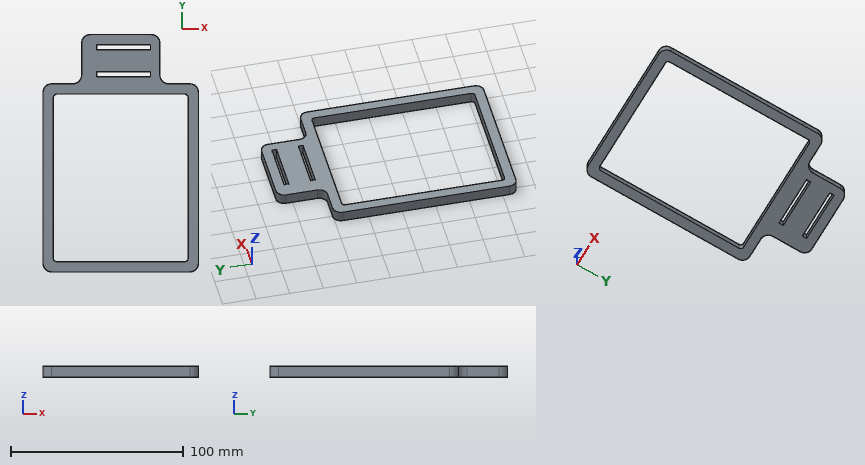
import cadquery as cq

thickness = 6.6
window_width = 78.0
window_length = 97.0
frame_wall = 6.1
frame_width = window_width + 2 * frame_wall
frame_length = window_length + 2 * frame_wall
window_corner_radius = 1.8
outer_radius = 5.0

overall_length = 137.75
tab_width = 45.5
tab_length = overall_length - frame_length

slot_length = 31.0
slot_width = 2.75
slot_pitch = 15.75
slot_end_margin = 6.0
slot_offset_x = 1.7
slot_count = 2

frame_top_y = frame_length / 2
tab_end_y = frame_top_y + tab_length


def make_plate():
    """Frame and tab outline as one plate, with every outline corner rounded."""
    half_frame = frame_width / 2
    half_tab = tab_width / 2
    outline = [
        (-half_frame, -frame_top_y),
        (half_frame, -frame_top_y),
        (half_frame, frame_top_y),
        (half_tab, frame_top_y),
        (half_tab, tab_end_y),
        (-half_tab, tab_end_y),
        (-half_tab, frame_top_y),
        (-half_frame, frame_top_y),
    ]
    plate = cq.Workplane("XY").polyline(outline).close().extrude(thickness)
    return plate.edges("|Z").fillet(outer_radius)


def make_window():
    """Rounded rectangular opening through the frame."""
    window = cq.Workplane("XY").rect(window_width, window_length).extrude(thickness)
    return window.edges("|Z").fillet(window_corner_radius)


def make_slots():
    """Square-ended strap slots through the tab, stepping in from its end."""
    outer_slot_y = tab_end_y - slot_end_margin - slot_width / 2
    centres = [(slot_offset_x, outer_slot_y - i * slot_pitch) for i in range(slot_count)]
    return cq.Workplane("XY").pushPoints(centres).rect(slot_length, slot_width).extrude(thickness)


result = make_plate().cut(make_window()).cut(make_slots())